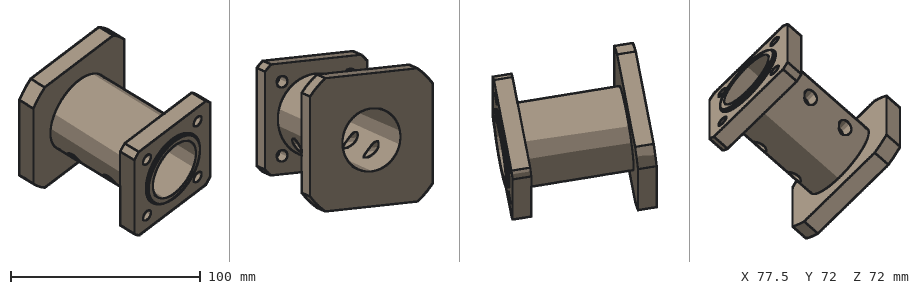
import cadquery as cq

length = 77.5

flange_thickness = 10.0
large_flange_width = 72.0
large_flange_corner_diameter = 90.0
small_flange_width = 60.0
small_flange_corner_diameter = 80.0

tube_diameter = 45.0
bore_diameter = 34.0
spigot_diameter = 42.0
spigot_length = 1.5
spigot_chamfer = 0.8

mounting_hole_diameter = 6.2
mounting_hole_spacing = 40.0

cross_hole_diameter = 8.0
first_cross_hole_x = 24.25
cross_hole_spacing = 25.0
cross_hole_z = -11.2

small_flange_end = length - spigot_length
small_flange_start = small_flange_end - flange_thickness


def section_at(x):
    """Workplane across the tube axis, facing +X."""
    return cq.Workplane("YZ", origin=(x, 0, 0))


def flange(x, width, corner_diameter):
    """Square plate with its corners rounded about the tube axis."""
    square = section_at(x).rect(width, width).extrude(flange_thickness)
    disc = section_at(x).circle(corner_diameter / 2).extrude(flange_thickness)
    return square.intersect(disc)


def spigot():
    """Short round boss with a chamfered outer rim."""
    boss = section_at(small_flange_end).circle(spigot_diameter / 2).extrude(spigot_length)
    return boss.faces(">X").edges().chamfer(spigot_chamfer)


def mounting_holes():
    return (
        section_at(small_flange_start)
        .rect(mounting_hole_spacing, mounting_hole_spacing, forConstruction=True)
        .vertices()
        .circle(mounting_hole_diameter / 2)
        .extrude(flange_thickness)
    )


def cross_holes():
    """Pair of holes along Y, passing through both tube walls."""
    centres = [
        (first_cross_hole_x, cross_hole_z),
        (first_cross_hole_x + cross_hole_spacing, cross_hole_z),
    ]
    return (
        cq.Workplane("XZ")
        .pushPoints(centres)
        .circle(cross_hole_diameter / 2)
        .extrude(tube_diameter / 2, both=True)
    )


tube = section_at(0).circle(tube_diameter / 2).extrude(small_flange_end)
bore = section_at(0).circle(bore_diameter / 2).extrude(length)

result = (
    tube
    .union(flange(0, large_flange_width, large_flange_corner_diameter))
    .union(flange(small_flange_start, small_flange_width, small_flange_corner_diameter))
    .union(spigot())
    .cut(bore)
    .cut(mounting_holes())
    .cut(cross_holes())
)